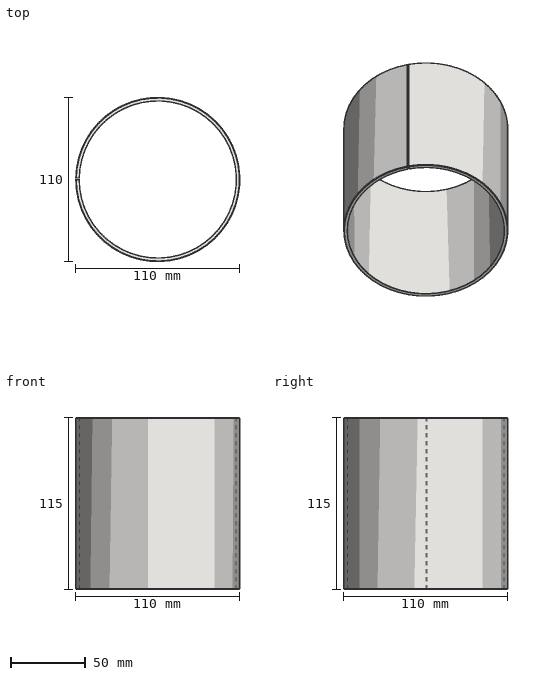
import cadquery as cq

outer_diameter = 110.0
wall_thickness = 2.5
sleeve_length = 115.0
outer_chamfer = 0.5
inner_chamfer = 0.2
slit_angle = 1.0

outer_radius = outer_diameter / 2
inner_radius = outer_radius - wall_thickness
full_turn = 360

axis_start = (0, 0, 0)
axis_end = (0, 1, 0)


def make_wall_section():
    """Cross-section of the wall on the -X side, with all four corners chamfered."""
    return (
        cq.Workplane("XZ")
        .moveTo(-inner_radius - inner_chamfer, 0)
        .lineTo(-outer_radius + outer_chamfer, 0)
        .lineTo(-outer_radius, outer_chamfer)
        .lineTo(-outer_radius, sleeve_length - outer_chamfer)
        .lineTo(-outer_radius + outer_chamfer, sleeve_length)
        .lineTo(-inner_radius - inner_chamfer, sleeve_length)
        .lineTo(-inner_radius, sleeve_length - inner_chamfer)
        .lineTo(-inner_radius, inner_chamfer)
        .close()
    )


def make_split_sleeve():
    """Wall section swept around Z, stopping short of a full turn to leave the slit."""
    return make_wall_section().revolve(full_turn - slit_angle, axis_start, axis_end)


result = make_split_sleeve()